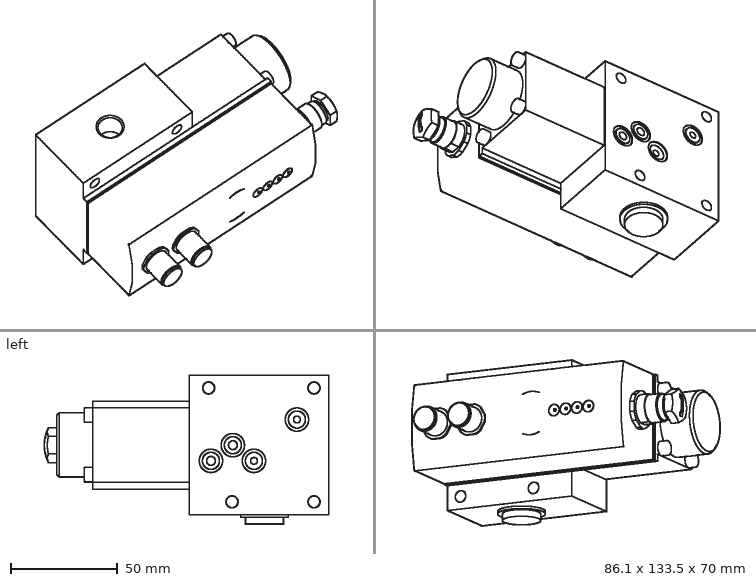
import cadquery as cq
import math


BLOCK_SIDE = 65.6
BLOCK_DEPTH = 35.8
PLATE_END_X = 38.5
PLATE_LENGTH = 110.8
PLATE_HEIGHT = 41.4
PLATE_Z = -0.1

SOLENOID_SIDE = 35.0
SOLENOID_X = BLOCK_DEPTH - SOLENOID_SIDE / 2
CAP_DIAMETER = 30.2
CAP_END_Y = 127.7
CAP_CHAMFER_LENGTH = 1.3
CAP_CHAMFER_DEPTH = 1.1

SCREW_PITCH = 28.0
SCREW_HEAD_DIAMETER = 7.0
SCREW_HEAD_HEIGHT = 3.9
SCREW_HEAD_FILLET = 0.5

NECK_LENGTH = 0.8
NECK_INSET = 0.3
COVER_START_X = PLATE_END_X + NECK_LENGTH
CASE_END_X = 69.6
EAVE_X = 70.0
COVER_LENGTH = 110.3
COVER_HEIGHT = PLATE_HEIGHT
COVER_FILLET = 0.5
ROOF_X = 72.4
ROOF_CROWN = 0.5
ROOF_FLAT_WIDTH = 15.5
ROOF_PEAK_X = ROOF_X + ROOF_CROWN

DISC_DIAMETER = 20.8
DISC_END_X = 72.5
DISC_Y = 62.8
LAMP_DIAMETER = 1.1
LAMP_HEIGHT = 0.4
LAMP_BASE_DIAMETER = 5.5
LAMP_BASE_OFFSET = -0.5
LAMP_COUNT = 4
LAMP_PITCH = 6.0
FIRST_LAMP_Y = 75.7

CONNECTOR_YS = [13.5, 31.5]
FLANGE_FLATS = 14.4
FLANGE_DIAMETER = 15.1
FLANGE_END_X = 73.7
CONNECTOR_DIAMETER = 12.0
CONNECTOR_SHOULDER_X = 84.7
CONNECTOR_TIP_DIAMETER = 11.0
CONNECTOR_TIP_START_X = 85.1
CONNECTOR_END_X = 86.1

GLAND_X = 54.6
GLAND_NUT_FLATS = 17.4
GLAND_NUT_DIAMETER = 18.0
GLAND_NUT_END_Y = 112.6
GLAND_BODY_DIAMETER = 14.3
GLAND_BODY_FLATS = 13.5
GLAND_BODY_END_Y = 117.1
GLAND_COLLAR_DIAMETER = 13.5
GLAND_COLLAR_END_Y = 123.4
GLAND_RING_DIAMETER = 12.3
GLAND_RING_END_Y = 126.2
GLAND_NECK_DIAMETER = 11.0
GLAND_STEP_CHAMFER = 0.4
GLAND_HEAD_FLATS = 14.3
GLAND_HEAD_START_Y = 127.7
GLAND_END_Y = 133.5
GLAND_DOME_RADIUS = 17.4
GLAND_SLOT_WIDTH = 2.1
GLAND_SLOT_DEPTH = 0.8

MOUNTING_HOLE_DIAMETER = 5.5
MOUNTING_HOLES = [(7.0, 26.7), (56.4, 26.7), (7.0, -26.7), (45.4, -26.7)]

PORTS = [
    (15.0, 11.9, 3.2, True),
    (45.0, -0.1, 4.1, True),
    (55.3, -7.5, 4.1, True),
    (35.1, -7.5, 3.2, False),
]
PORT_HOLE_DEPTH = 13.4
SEAL_OUTER_DIAMETER = 11.0
SEAL_INNER_DIAMETER = 8.0
SEAL_SECTION = (SEAL_OUTER_DIAMETER - SEAL_INNER_DIAMETER) / 2

LINE_PORT_X = SOLENOID_X
LINE_PORT_Y = 30.2
LINE_PORT_DIAMETER = 11.5
LINE_PORT_RIM_DIAMETER = 13.1
LINE_PORT_DEPTH = 12.0
DRILL_POINT_ANGLE = 118
PLUG_FLANGE_DIAMETER = 22.5
PLUG_FLANGE_HEIGHT = 1.2
PLUG_DIAMETER = 18.0
PLUG_HEIGHT = 4.4


def box(x_range, y_range, z_range):
    """Box between pairs of limits."""
    sizes = [high - low for low, high in (x_range, y_range, z_range)]
    corner = (x_range[0], y_range[0], z_range[0])
    return cq.Workplane("XY").box(*sizes, centered=False).translate(corner)


def centred(middle, size):
    """Limits of a length centred on a position."""
    return (middle - size / 2, middle + size / 2)


def rod_x(diameter, start, end, y, z):
    """Cylinder along +X."""
    return cq.Workplane("YZ", origin=(start, y, z)).circle(diameter / 2).extrude(end - start)


def turned_y(profile, x, z):
    """Solid turned about an axis along Y, from (radius, y) points."""
    outline = cq.Workplane("XY", origin=(x, 0, z)).polyline(profile).close()
    return outline.revolve(360, (0, 0, 0), (0, 1, 0))


def hexagon(plane, flats, length, turn=0):
    """Hexagonal prism given its width across flats; turn is its first corner's angle in degrees."""
    across_corners = flats / math.cos(math.radians(30))
    prism = plane.transformed(rotate=(0, 0, turn)).polygon(6, across_corners)
    return prism.extrude(length)


def make_block():
    """Valve block with the plate that carries the electronics."""
    block = box((0, BLOCK_DEPTH), (0, BLOCK_SIDE), centred(0, BLOCK_SIDE))
    plate = box((BLOCK_DEPTH, PLATE_END_X), (0, PLATE_LENGTH), centred(PLATE_Z, PLATE_HEIGHT))
    return block.union(plate)


def make_solenoid():
    """Square solenoid with a chamfered round cap."""
    coil = box(
        (SOLENOID_X - SOLENOID_SIDE / 2, BLOCK_DEPTH),
        (BLOCK_SIDE, PLATE_LENGTH),
        centred(0, SOLENOID_SIDE),
    )
    cap_radius = CAP_DIAMETER / 2
    cap = turned_y(
        [
            (0, PLATE_LENGTH),
            (cap_radius, PLATE_LENGTH),
            (cap_radius, CAP_END_Y - CAP_CHAMFER_LENGTH),
            (cap_radius - CAP_CHAMFER_DEPTH, CAP_END_Y),
            (0, CAP_END_Y),
        ],
        SOLENOID_X,
        0,
    )
    return coil.union(cap)


def roof_section(y, flat_x):
    """Outline of the roof, a trapezoid on a low rim, at one position along Y."""
    half_base = COVER_HEIGHT / 2
    half_flat = ROOF_FLAT_WIDTH / 2
    corners = [
        (CASE_END_X, PLATE_Z - half_base),
        (EAVE_X, PLATE_Z - half_base),
        (flat_x, PLATE_Z - half_flat),
        (flat_x, PLATE_Z + half_flat),
        (EAVE_X, PLATE_Z + half_base),
        (CASE_END_X, PLATE_Z + half_base),
    ]
    return cq.Wire.makePolygon([cq.Vector(x, y, z) for x, z in corners], close=True)


def make_cover():
    """Electronics cover: recessed neck, rounded case and crowned roof."""
    neck = box(
        (PLATE_END_X, COVER_START_X),
        (NECK_INSET, COVER_LENGTH - NECK_INSET),
        centred(PLATE_Z, COVER_HEIGHT - 2 * NECK_INSET),
    )
    case = box((COVER_START_X, CASE_END_X), (0, COVER_LENGTH), centred(PLATE_Z, COVER_HEIGHT))
    roof = cq.Solid.makeLoft(
        [
            roof_section(0, ROOF_X),
            roof_section(COVER_LENGTH / 2, ROOF_PEAK_X),
            roof_section(COVER_LENGTH, ROOF_X),
        ]
    )
    rounded_neck = neck.edges("|X").fillet(COVER_FILLET)
    rounded_case = case.edges("|X").fillet(COVER_FILLET)
    return rounded_neck.union(rounded_case).union(cq.Workplane(roof))


def make_roof_features():
    """Large disc and a row of indicator lamps, each on a round base, on the roof."""
    features = rod_x(DISC_DIAMETER, EAVE_X, DISC_END_X, DISC_Y, PLATE_Z)
    for index in range(LAMP_COUNT):
        lamp_y = FIRST_LAMP_Y + index * LAMP_PITCH
        lamp = rod_x(LAMP_DIAMETER, EAVE_X, ROOF_PEAK_X + LAMP_HEIGHT, lamp_y, PLATE_Z)
        base = rod_x(LAMP_BASE_DIAMETER, EAVE_X, ROOF_PEAK_X, lamp_y + LAMP_BASE_OFFSET, PLATE_Z)
        features = features.union(base).union(lamp)
    return features


def make_connector(y):
    """Round connector on a hexagonal flange with rounded corners."""
    flange_plane = cq.Workplane("YZ", origin=(EAVE_X, y, PLATE_Z))
    flange = hexagon(flange_plane, FLANGE_FLATS, FLANGE_END_X - EAVE_X)
    flange = flange.intersect(rod_x(FLANGE_DIAMETER, EAVE_X, FLANGE_END_X, y, PLATE_Z))
    barrel = rod_x(CONNECTOR_DIAMETER, EAVE_X, CONNECTOR_SHOULDER_X, y, PLATE_Z)
    shoulder_plane = cq.Workplane("YZ", origin=(CONNECTOR_SHOULDER_X, y, PLATE_Z))
    shoulder = (
        shoulder_plane.circle(CONNECTOR_DIAMETER / 2)
        .workplane(offset=CONNECTOR_TIP_START_X - CONNECTOR_SHOULDER_X)
        .circle(CONNECTOR_TIP_DIAMETER / 2)
        .loft()
    )
    tip = rod_x(CONNECTOR_TIP_DIAMETER, CONNECTOR_TIP_START_X, CONNECTOR_END_X, y, PLATE_Z)
    return flange.union(barrel).union(shoulder).union(tip)


def gland_plane(y):
    """Plane across the gland axis at a position along Y, facing +Y."""
    return cq.Workplane("XZ", origin=(GLAND_X, y, PLATE_Z)).transformed(rotate=(180, 0, 0))


def make_gland():
    """Cable gland: nut, flatted body, stepped collar and slotted domed head."""
    nut_height = GLAND_NUT_END_Y - COVER_LENGTH
    nut = hexagon(gland_plane(COVER_LENGTH), GLAND_NUT_FLATS, nut_height, 90)
    nut = nut.intersect(gland_plane(COVER_LENGTH).circle(GLAND_NUT_DIAMETER / 2).extrude(nut_height))

    body_height = GLAND_BODY_END_Y - GLAND_NUT_END_Y
    body = gland_plane(GLAND_NUT_END_Y).circle(GLAND_BODY_DIAMETER / 2).extrude(body_height)
    flats = gland_plane(GLAND_NUT_END_Y).rect(GLAND_BODY_DIAMETER, GLAND_BODY_FLATS).extrude(body_height)
    body = body.intersect(flats)

    collar_radius = GLAND_COLLAR_DIAMETER / 2
    ring_radius = GLAND_RING_DIAMETER / 2
    neck_radius = GLAND_NECK_DIAMETER / 2
    collar = turned_y(
        [
            (0, GLAND_BODY_END_Y),
            (collar_radius, GLAND_BODY_END_Y),
            (collar_radius, GLAND_COLLAR_END_Y - GLAND_STEP_CHAMFER),
            (ring_radius, GLAND_COLLAR_END_Y),
            (ring_radius, GLAND_RING_END_Y),
            (neck_radius, GLAND_RING_END_Y + GLAND_STEP_CHAMFER),
            (neck_radius, GLAND_HEAD_START_Y),
            (0, GLAND_HEAD_START_Y),
        ],
        GLAND_X,
        PLATE_Z,
    )

    crest_y = GLAND_END_Y + GLAND_SLOT_WIDTH**2 / (8 * GLAND_DOME_RADIUS)
    blank_height = GLAND_END_Y + GLAND_HEAD_FLATS / 2 - GLAND_HEAD_START_Y
    head = hexagon(gland_plane(GLAND_HEAD_START_Y), GLAND_HEAD_FLATS, blank_height, 90)
    dome_centre = (GLAND_X, crest_y - GLAND_DOME_RADIUS, PLATE_Z)
    head = head.intersect(cq.Workplane("XY").sphere(GLAND_DOME_RADIUS).translate(dome_centre))
    slot = box(
        centred(GLAND_X, GLAND_SLOT_WIDTH),
        (GLAND_END_Y - GLAND_SLOT_DEPTH, crest_y),
        centred(PLATE_Z, 2 * GLAND_HEAD_FLATS),
    )
    return nut.union(body).union(collar).union(head.cut(slot))


def make_plug():
    """Flanged plug under the block."""
    underside = cq.Workplane("XY", origin=(LINE_PORT_X, LINE_PORT_Y, -BLOCK_SIDE / 2))
    flange = underside.circle(PLUG_FLANGE_DIAMETER / 2).extrude(-PLUG_FLANGE_HEIGHT)
    return flange.union(underside.circle(PLUG_DIAMETER / 2).extrude(-PLUG_HEIGHT))


def make_line_port():
    """Drilled hole with a conical point and a chamfered rim, entering from the top."""
    radius = LINE_PORT_DIAMETER / 2
    rim_radius = LINE_PORT_RIM_DIAMETER / 2
    rim_chamfer = rim_radius - radius
    point_height = radius / math.tan(math.radians(DRILL_POINT_ANGLE / 2))
    profile = [
        (0, 0),
        (rim_radius, 0),
        (radius, -rim_chamfer),
        (radius, -LINE_PORT_DEPTH),
        (0, -LINE_PORT_DEPTH - point_height),
    ]
    top_plane = cq.Workplane("XZ", origin=(LINE_PORT_X, LINE_PORT_Y, BLOCK_SIDE / 2))
    return top_plane.polyline(profile).close().revolve(360, (0, 0, 0), (0, 1, 0))


def make_seal_port(y, z, hole_diameter, has_boss):
    """Cavity of one face port: a seat for the seal and the hole at its centre."""
    seat = rod_x(SEAL_OUTER_DIAMETER, 0, SEAL_SECTION, y, z)
    if has_boss:
        seat = seat.cut(rod_x(SEAL_INNER_DIAMETER, 0, SEAL_SECTION, y, z))
    return seat.union(rod_x(hole_diameter, 0, PORT_HOLE_DEPTH, y, z))


def make_housing():
    """Valve body with solenoid, electronics, connectors, gland and plug."""
    housing = make_block().union(make_solenoid()).union(make_cover()).union(make_roof_features())
    for connector_y in CONNECTOR_YS:
        housing = housing.union(make_connector(connector_y))
    housing = housing.union(make_gland()).union(make_plug()).cut(make_line_port())
    for y, z in MOUNTING_HOLES:
        housing = housing.cut(rod_x(MOUNTING_HOLE_DIAMETER, 0, BLOCK_DEPTH, y, z))
    for port in PORTS:
        housing = housing.cut(make_seal_port(*port))
    return housing


def make_seal(y, z):
    """O-ring lying flush with the mounting face."""
    mean_radius = (SEAL_OUTER_DIAMETER - SEAL_SECTION) / 2
    centre = cq.Vector(SEAL_SECTION / 2, y, z)
    return cq.Solid.makeTorus(mean_radius, SEAL_SECTION / 2, centre, cq.Vector(1, 0, 0))


def make_screw(x, z):
    """Round screw head standing on the end of the solenoid."""
    seat = cq.Workplane("XZ", origin=(x, PLATE_LENGTH, z))
    head = seat.circle(SCREW_HEAD_DIAMETER / 2).extrude(-SCREW_HEAD_HEIGHT)
    return head.faces(">Y").edges().fillet(SCREW_HEAD_FILLET)


housing = make_housing()
seals = [make_seal(y, z) for y, z, hole_diameter, has_boss in PORTS]
screws = [
    make_screw(SOLENOID_X + x_side * SCREW_PITCH / 2, z_side * SCREW_PITCH / 2).val()
    for x_side in (-1, 1)
    for z_side in (-1, 1)
]

result = cq.Compound.makeCompound([housing.val(), *seals, *screws])